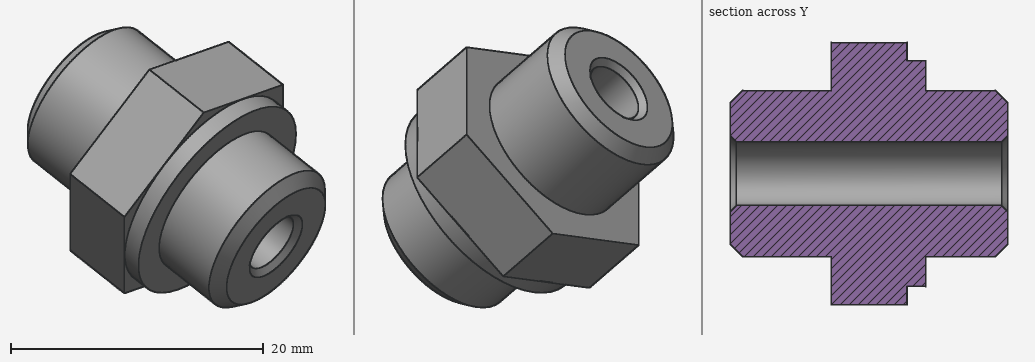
import cadquery as cq
import math

total_length = 22.0
hex_start = 8.0
hex_width = 6.0
collar_width = 1.5

hex_across_flats = 18.0
collar_diameter = 17.9
spigot_diameter = 13.2
bore_diameter = 5.0

spigot_chamfer = 1.0
bore_chamfer = 0.5


def cylinder_along_x(start, length, diameter):
    """Solid cylinder on the X axis, beginning at the given X."""
    return cq.Workplane("YZ", origin=(start, 0, 0)).circle(diameter / 2).extrude(length)


spigots = cylinder_along_x(0, total_length, spigot_diameter).faces("<X or >X").chamfer(spigot_chamfer)

hex_across_corners = hex_across_flats / math.cos(math.radians(30))
hexagon = (
    cq.Workplane("YZ", origin=(hex_start, 0, 0))
    .transformed(rotate=(0, 0, 90))
    .polygon(6, hex_across_corners)
    .extrude(hex_width)
)

collar = cylinder_along_x(hex_start + hex_width, collar_width, collar_diameter)

bore = cylinder_along_x(0, total_length, bore_diameter)
body = spigots.union(hexagon).union(collar).cut(bore)

mouth_region = cq.selectors.BoxSelector(
    (-bore_diameter, -bore_diameter, -bore_diameter),
    (total_length + bore_diameter, bore_diameter, bore_diameter),
    boundingbox=True,
)
result = body.edges("%CIRCLE").edges(mouth_region).chamfer(bore_chamfer)